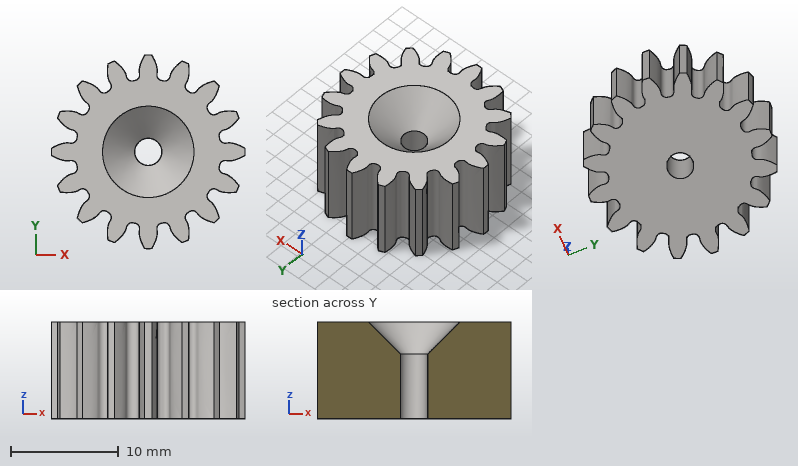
import cadquery as cq
import math

tooth_count = 16
outer_diameter = 18.0
gear_height = outer_diameter / 2
pressure_angle = math.radians(20)
addendum_modules = 1
dedendum_modules = 1.25

module = outer_diameter / (tooth_count + 2 * addendum_modules)
tip_radius = outer_diameter / 2
pitch_radius = module * tooth_count / 2
base_radius = pitch_radius * math.cos(pressure_angle)
root_radius = pitch_radius - dedendum_modules * module

root_fillet = 0.5
bore_diameter = 2.5
countersink_diameter = 8.5
countersink_angle = 90.0

tooth_pitch_angle = 2 * math.pi / tooth_count
flank_point_count = 7


def involute(angle):
    """Involute function of an angle in radians."""
    return math.tan(angle) - angle


def polar(radius, angle):
    """Point at a radius and an angle about the gear axis."""
    return (radius * math.cos(angle), radius * math.sin(angle))


base_half_angle = tooth_pitch_angle / 4 + involute(pressure_angle)

fillet_center_radius = root_radius + root_fillet
flank_foot_radius = math.sqrt(fillet_center_radius ** 2 - root_fillet ** 2)
fillet_center_angle = base_half_angle + math.asin(root_fillet / fillet_center_radius)


def flank_half_angle(radius):
    """Half the angle that a tooth spans at a radius on the involute."""
    return base_half_angle - involute(math.acos(min(1.0, base_radius / radius)))


def involute_flank(center_angle, side):
    """Flank points from base circle to tip; side is -1 or +1 of the tooth center."""
    points = []
    for index in range(flank_point_count):
        fraction = index / (flank_point_count - 1)
        radius = base_radius + (tip_radius - base_radius) * fraction ** 2
        points.append(polar(radius, center_angle + side * flank_half_angle(radius)))
    return points


def fillet_middle(center_angle, side):
    """Middle point of the root fillet on one side of a tooth."""
    center_x, center_y = polar(fillet_center_radius, center_angle + side * fillet_center_angle)
    towards_axis = center_angle + side * fillet_center_angle + math.pi
    towards_flank = center_angle + side * (base_half_angle - math.pi / 2)
    turn = math.remainder(towards_flank - towards_axis, 2 * math.pi)
    offset_x, offset_y = polar(root_fillet, towards_axis + turn / 2)
    return (center_x + offset_x, center_y + offset_y)


def gear_outline():
    """Closed outline of all teeth and gaps, drawn counterclockwise."""
    outline = cq.Workplane("XY").moveTo(*polar(root_radius, -fillet_center_angle))
    for tooth in range(tooth_count):
        center = tooth * tooth_pitch_angle
        rising = involute_flank(center, -1)
        falling = involute_flank(center, 1)[::-1]
        gap_start = polar(root_radius, center + fillet_center_angle)
        gap_middle = polar(root_radius, center + tooth_pitch_angle / 2)
        gap_end = polar(root_radius, center + tooth_pitch_angle - fillet_center_angle)
        outline = (
            outline
            .threePointArc(fillet_middle(center, -1), polar(flank_foot_radius, center - base_half_angle))
            .lineTo(*rising[0])
            .spline(rising[1:], includeCurrent=True)
            .threePointArc(polar(tip_radius, center), falling[0])
            .spline(falling[1:], includeCurrent=True)
            .lineTo(*polar(flank_foot_radius, center + base_half_angle))
            .threePointArc(fillet_middle(center, 1), gap_start)
            .threePointArc(gap_middle, gap_end)
        )
    return outline.close()


gear = gear_outline().extrude(gear_height)
result = gear.faces(">Z").workplane(origin=(0, 0, gear_height)).cskHole(
    bore_diameter, countersink_diameter, countersink_angle
)